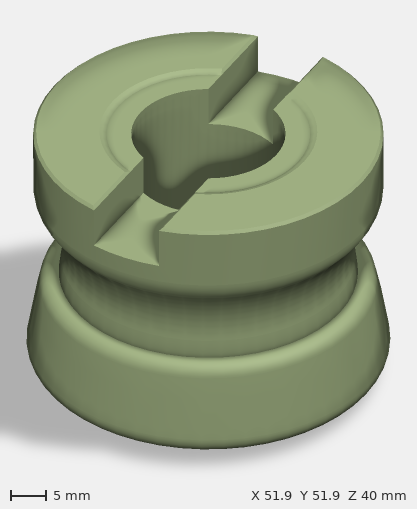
import cadquery as cq
import math

total_height = 40.0
base_radius = 25.95
joint_z = 15.55

base_hole_diameter = 11.0
foot_flat_radius = 15.4
foot_cone_angle = math.radians(11.5)
rim_radius = 2.2
shoulder_radius = 2.1
shoulder_flat_radius = 22.05
flank_angle = math.radians(11)
flank_crown = 0.1

head_radius = 50.0 / 2
head_bore_diameter = 22.0
neck_bottom_radius = 42.7 / 2
waist_radius = 20.75
collar_bottom_z = 30.8
collar_round_end_z = 27.95
waist_end_z = 18.25
turn_angle = math.radians(45)
edge_chamfer = 0.4

slot_width = 10.55
slot_depth = 6.55
recess_top_diameter = 31.1
recess_floor_diameter = 29.05
recess_depth = 0.4


def point_on_arc(center, radius, angle):
    """Point (r, z) at an angle measured upward from the outward direction."""
    return (center[0] + radius * math.cos(angle), center[1] + radius * math.sin(angle))


def make_base():
    rim_center_r = base_radius - rim_radius
    rim_center_z = (
        (rim_center_r - foot_flat_radius) * math.tan(foot_cone_angle)
        + rim_radius / math.cos(foot_cone_angle)
    )
    rim_center = (rim_center_r, rim_center_z)
    shoulder_center = (shoulder_flat_radius, joint_z - shoulder_radius)

    rim_start = point_on_arc(rim_center, rim_radius, foot_cone_angle - math.pi / 2)
    rim_middle = point_on_arc(rim_center, rim_radius, 0)
    rim_end = point_on_arc(rim_center, rim_radius, flank_angle)
    shoulder_start = point_on_arc(shoulder_center, shoulder_radius, flank_angle)
    shoulder_middle = point_on_arc(shoulder_center, shoulder_radius, math.pi / 4)
    flank_middle = (
        (rim_end[0] + shoulder_start[0]) / 2 + flank_crown * math.cos(flank_angle),
        (rim_end[1] + shoulder_start[1]) / 2 + flank_crown * math.sin(flank_angle),
    )

    hole_radius = base_hole_diameter / 2
    profile = (
        cq.Workplane("XZ")
        .moveTo(hole_radius, 0)
        .lineTo(foot_flat_radius, 0)
        .lineTo(*rim_start)
        .threePointArc(rim_middle, rim_end)
        .threePointArc(flank_middle, shoulder_start)
        .threePointArc(shoulder_middle, (shoulder_flat_radius, joint_z))
        .lineTo(hole_radius, joint_z)
        .close()
    )
    return profile.revolve(360, (0, 0, 0), (0, 1, 0))


def make_head_blank():
    collar_round = (collar_bottom_z - collar_round_end_z) / math.sin(turn_angle)
    collar_center = (head_radius - collar_round, collar_bottom_z)
    collar_middle = point_on_arc(collar_center, collar_round, -turn_angle / 2)
    collar_end = point_on_arc(collar_center, collar_round, -turn_angle)

    waist_curve = (collar_end[0] - waist_radius) / (1 - math.cos(turn_angle))
    waist_z = collar_round_end_z - waist_curve * math.sin(turn_angle)
    waist_end_angle = math.asin((waist_z - waist_end_z) / waist_curve)
    waist_end_radius = waist_radius + waist_curve * (1 - math.cos(waist_end_angle))

    bore_radius = head_bore_diameter / 2
    recess_floor_z = total_height - recess_depth
    profile = (
        cq.Workplane("XZ")
        .moveTo(bore_radius, joint_z)
        .lineTo(neck_bottom_radius, joint_z)
        .lineTo(waist_end_radius, waist_end_z)
        .threePointArc((waist_radius, waist_z), collar_end)
        .threePointArc(collar_middle, (head_radius, collar_bottom_z))
        .lineTo(head_radius, total_height - edge_chamfer)
        .lineTo(head_radius - edge_chamfer, total_height)
        .lineTo(recess_top_diameter / 2, total_height)
        .lineTo(recess_floor_diameter / 2, recess_floor_z)
        .lineTo(bore_radius, recess_floor_z)
        .close()
    )
    return profile.revolve(360, (0, 0, 0), (0, 1, 0))


def make_slot_cutter():
    """Slot along Y whose mouth flares to chamfer both upper edges."""
    half_width = slot_width / 2
    chamfer_z = total_height - edge_chamfer
    floor_z = total_height - slot_depth
    return (
        cq.Workplane("XZ")
        .polyline([
            (-half_width, floor_z),
            (half_width, floor_z),
            (half_width, chamfer_z),
            (half_width + edge_chamfer, total_height),
            (-half_width - edge_chamfer, total_height),
            (-half_width, chamfer_z),
        ])
        .close()
        .extrude(base_radius, both=True)
    )


base = make_base()
head = make_head_blank().cut(make_slot_cutter())

result = cq.Compound.makeCompound([base.val(), *head.solids().vals()])